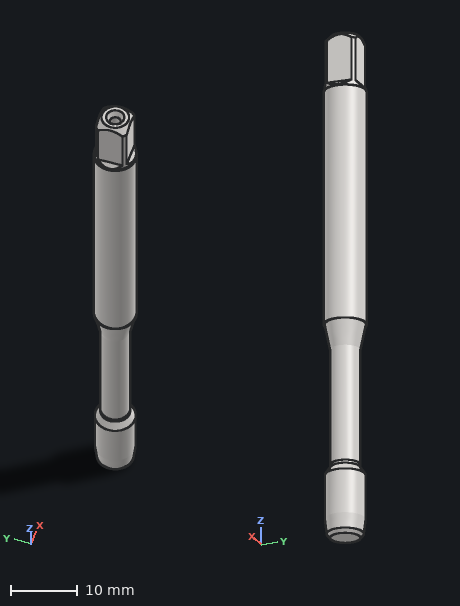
import cadquery as cq
import math

TOTAL_LENGTH = 80.0
TIP_CHAMFER_TOP = 0.6
LEAD_TOP = 3.0
HEAD_SHOULDER_BOTTOM = 10.0
HEAD_SHOULDER_TOP = 11.2
HEAD_TOP = 11.7
NECK_TOP = 30.0
TAPER_TOP = 34.1
SHANK_TOP = 71.4
FLAT_BOTTOM = 72.2

TIP_DIAMETER = 4.6
LEAD_DIAMETER = 5.6
HEAD_DIAMETER = 6.2

NECK_DIAMETER = 4.6
SHANK_DIAMETER = 6.5
TAPER_DIAMETER = 6.2
DRIVE_DIAMETER = 6.2
SQUARE_WIDTH = 4.9
TOP_FACE_DIAMETER = 4.2

CENTER_DRILL_DIAMETER = 1.6
COUNTERSINK_DIAMETER = 2.7
COUNTERSINK_ANGLE = 60.0
DRILL_POINT_ANGLE = 120.0
DRILL_LENGTH = 1.6


def revolve_profile(stations):
    """Revolve (diameter, height) stations around Z, closed along the axis."""
    bottom = stations[0][1]
    top = stations[-1][1]
    outline = [(0, bottom)] + [(diameter / 2, z) for diameter, z in stations] + [(0, top)]
    return cq.Workplane("XZ").polyline(outline).close().revolve(360, (0, 0), (0, 1))


def cone_height(large_diameter, small_diameter, included_angle):
    half_angle = math.radians(included_angle / 2)
    return (large_diameter - small_diameter) / 2 / math.tan(half_angle)


def make_cutting_head():
    return revolve_profile([
        (TIP_DIAMETER, 0),
        (LEAD_DIAMETER, TIP_CHAMFER_TOP),
        (HEAD_DIAMETER, LEAD_TOP),
        (HEAD_DIAMETER, HEAD_SHOULDER_BOTTOM),
        (NECK_DIAMETER, HEAD_SHOULDER_TOP),
        (NECK_DIAMETER, HEAD_TOP),
    ])


def make_flat_cutter():
    """Region outside one flat of the square, with a floor sloping down outward at 45 degrees."""
    flat = SQUARE_WIDTH / 2
    reach = SHANK_DIAMETER
    outline = [
        (flat, FLAT_BOTTOM),
        (flat + reach, FLAT_BOTTOM - reach),
        (flat + reach, TOTAL_LENGTH),
        (flat, TOTAL_LENGTH),
    ]
    return cq.Workplane("XZ").polyline(outline).close().extrude(SHANK_DIAMETER / 2, both=True)


def make_center_hole():
    countersink_depth = cone_height(COUNTERSINK_DIAMETER, CENTER_DRILL_DIAMETER, COUNTERSINK_ANGLE)
    drill_top = TOTAL_LENGTH - countersink_depth
    drill_bottom = drill_top - DRILL_LENGTH
    point = drill_bottom - cone_height(CENTER_DRILL_DIAMETER, 0, DRILL_POINT_ANGLE)
    outline = [
        (0, point),
        (CENTER_DRILL_DIAMETER / 2, drill_bottom),
        (CENTER_DRILL_DIAMETER / 2, drill_top),
        (COUNTERSINK_DIAMETER / 2, TOTAL_LENGTH),
        (0, TOTAL_LENGTH),
    ]
    return cq.Workplane("XZ").polyline(outline).close().revolve(360, (0, 0), (0, 1))


def make_shank():
    shank_chamfer = (SHANK_DIAMETER - DRIVE_DIAMETER) / 2
    top_chamfer = (DRIVE_DIAMETER - TOP_FACE_DIAMETER) / 2
    shank = revolve_profile([
        (NECK_DIAMETER, HEAD_TOP),
        (NECK_DIAMETER, NECK_TOP),
        (TAPER_DIAMETER, TAPER_TOP),
        (SHANK_DIAMETER, TAPER_TOP),
        (SHANK_DIAMETER, SHANK_TOP - shank_chamfer),
        (DRIVE_DIAMETER, SHANK_TOP),
        (DRIVE_DIAMETER, TOTAL_LENGTH - top_chamfer),
        (TOP_FACE_DIAMETER, TOTAL_LENGTH),
    ])
    for angle in (0, 90, 180, 270):
        shank = shank.cut(make_flat_cutter().rotate((0, 0, 0), (0, 0, 1), angle))
    return shank.cut(make_center_hole())


cutting_head = make_cutting_head()
shank = make_shank()

result = cq.Compound.makeCompound([cutting_head.val(), shank.val()])